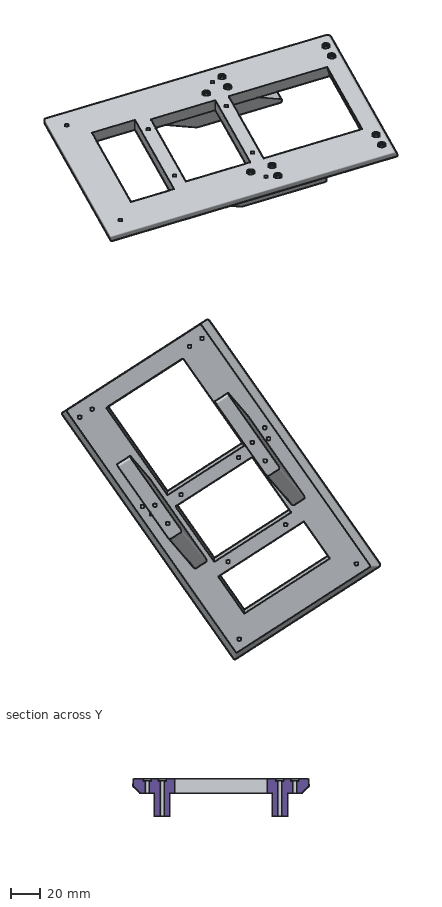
import cadquery as cq
import math

WIDTH = 120.0
LENGTH = 212.5
THICKNESS = 10.0
FRONT_Y = -LENGTH / 2
REAR_Y = LENGTH / 2

UNDER_CHAMFER = 4.9
CHAMFER_BLEND_RADIUS = 3.0
EDGE_RADIUS = 0.95
REAR_TILT = 12.0
REAR_LEAN = THICKNESS * math.tan(math.radians(REAR_TILT))
REAR_TOP_RADIUS = 4.2

WINDOW_HALF_WIDTH = 31.5
WIDE_WINDOW_HALF_WIDTH = 35.0
WINDOWS = [
    (WINDOW_HALF_WIDTH, 17.8, 90.3, REAR_LEAN),
    (WINDOW_HALF_WIDTH, -39.3, 8.0, 0.0),
    (WIDE_WINDOW_HALF_WIDTH, -81.1, -49.5, 0.0),
]

HOLE_DIAMETER = 2.5
COUNTERBORE_DIAMETER = 5.3
COUNTERBORE_DEPTH = 1.5
INNER_BORE_X = 40.0
OUTER_BORE_X = 50.1
REAR_BORE_Y = 97.0
MIDDLE_BORE_Y = 20.5
FRONT_BORE_Y = 4.9
COUNTERBORED_HOLES = [
    (INNER_BORE_X, REAR_BORE_Y),
    (OUTER_BORE_X, REAR_BORE_Y),
    (INNER_BORE_X, MIDDLE_BORE_Y),
    (OUTER_BORE_X, MIDDLE_BORE_Y),
    (INNER_BORE_X, FRONT_BORE_Y),
]
CROSSBAR_HOLE_X = 23.5
SIDE_HOLE_X = 48.0
PLAIN_HOLES = [
    (CROSSBAR_HOLE_X, 13.0),
    (CROSSBAR_HOLE_X, -44.4),
    (SIDE_HOLE_X, 12.7),
    (SIDE_HOLE_X, -94.3),
]

FOOT_DEPTH = 15.7
FOOT_WIDTH = 10.6
FOOT_INNER_X = 34.8
FOOT_REAR_Y = 33.8
FOOT_FRONT_Y = -36.1
FOOT_SLANT = 27.0
FOOT_TIP_RADIUS = 2.0
FOOT_EDGE_RADIUS = 1.0


def make_plate():
    """Intersect the lengthwise and crosswise edge profiles of the plate."""
    half = WIDTH / 2

    lengthwise = (
        cq.Workplane("YZ")
        .polyline([
            (FRONT_Y + UNDER_CHAMFER, 0),
            (REAR_Y, 0),
            (REAR_Y - REAR_LEAN, THICKNESS),
            (FRONT_Y, THICKNESS),
            (FRONT_Y, UNDER_CHAMFER),
        ])
        .close()
        .extrude(half, both=True)
    )
    crosswise = (
        cq.Workplane("XZ")
        .polyline([
            (-half + UNDER_CHAMFER, 0),
            (half - UNDER_CHAMFER, 0),
            (half, UNDER_CHAMFER),
            (half, THICKNESS),
            (-half, THICKNESS),
            (-half, UNDER_CHAMFER),
        ])
        .close()
        .extrude(LENGTH / 2, both=True)
    )

    lengthwise = lengthwise.edges("|X").edges(">Z").edges(">Y").fillet(REAR_TOP_RADIUS)
    lengthwise = lengthwise.edges("|X and <Y").edges("<Z").fillet(CHAMFER_BLEND_RADIUS)
    for side in ("<X", ">X"):
        crosswise = crosswise.edges(f"|Y and {side}").edges("<Z").fillet(CHAMFER_BLEND_RADIUS)
    plate = lengthwise.intersect(crosswise)

    corners = plate.edges("not (|X or |Y)")
    top_edges = plate.faces(">Z").edges("<X or >X or <Y")
    return corners.add(top_edges).fillet(EDGE_RADIUS)


def make_window(half_width, front_y, rear_y, rear_lean):
    """Build a window cutter; rear_lean moves its rear wall back at the underside."""
    return (
        cq.Workplane("YZ")
        .polyline([
            (front_y, 0),
            (rear_y + rear_lean, 0),
            (rear_y, THICKNESS),
            (front_y, THICKNESS),
        ])
        .close()
        .extrude(half_width, both=True)
    )


def make_foot():
    """Build the foot on the +X side."""
    slant_run = FOOT_DEPTH / math.tan(math.radians(FOOT_SLANT))
    foot = (
        cq.Workplane("YZ", origin=(FOOT_INNER_X, 0, 0))
        .polyline([
            (FOOT_REAR_Y, 0),
            (FOOT_REAR_Y + slant_run, -FOOT_DEPTH),
            (FOOT_FRONT_Y + slant_run, -FOOT_DEPTH),
            (FOOT_FRONT_Y, 0),
        ])
        .close()
        .extrude(FOOT_WIDTH)
    )
    foot = foot.edges("|X and >Y").fillet(FOOT_TIP_RADIUS)
    return foot.faces("<Y").edges("not |X").fillet(FOOT_EDGE_RADIUS)


def mirrored(points):
    """Return each point together with its mirror image about the YZ plane."""
    return [(side * x, y) for x, y in points for side in (-1, 1)]


def make_drills(points, diameter, bottom_z):
    """Build upright cylinders from bottom_z to the top of the plate."""
    return (
        cq.Workplane("XY", origin=(0, 0, bottom_z))
        .pushPoints(mirrored(points))
        .circle(diameter / 2)
        .extrude(THICKNESS - bottom_z)
    )


result = make_plate()
for window in WINDOWS:
    result = result.cut(make_window(*window))

foot = make_foot()
result = result.union(foot).union(foot.mirror("YZ"))

result = result.cut(make_drills(PLAIN_HOLES + COUNTERBORED_HOLES, HOLE_DIAMETER, -FOOT_DEPTH))
result = result.cut(
    make_drills(COUNTERBORED_HOLES, COUNTERBORE_DIAMETER, THICKNESS - COUNTERBORE_DEPTH)
)